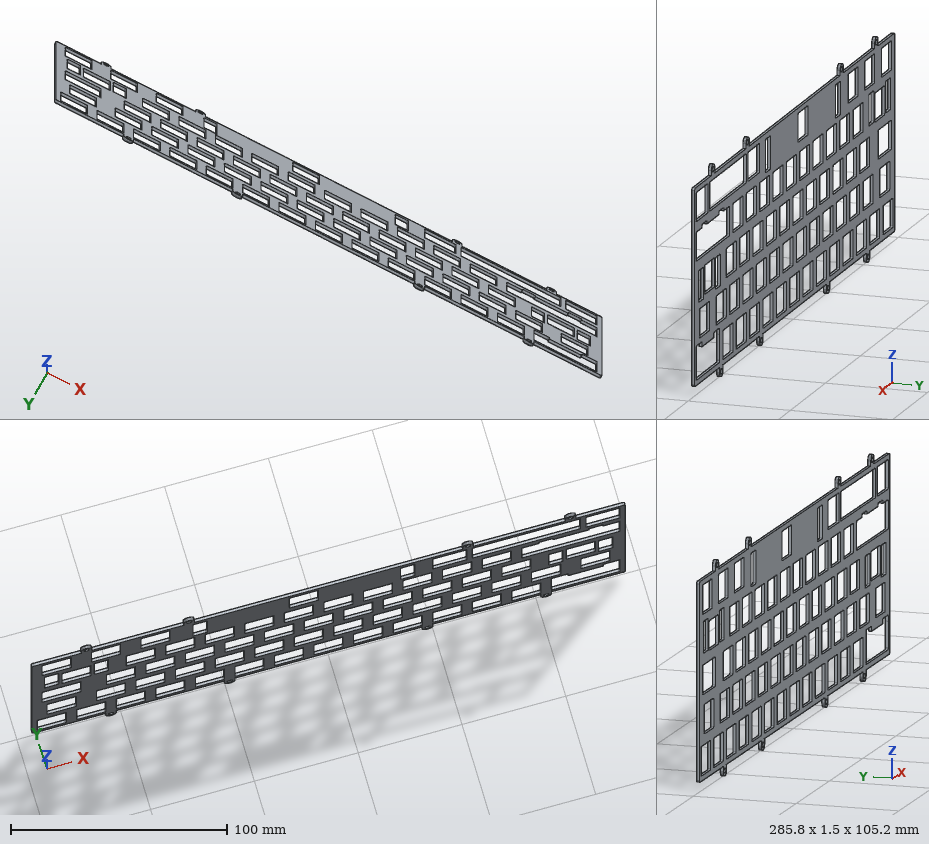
import cadquery as cq

PLATE_WIDTH = 285.8
ROWS = 5
COLUMNS = 15
THICKNESS = 1.5
PLATE_RADIUS = 1.0
OVERALL_HEIGHT = 105.2
PITCH = PLATE_WIDTH / COLUMNS
PLATE_HEIGHT = ROWS * PITCH

SWITCH_SIZE = 14.0
CORNER_RADIUS = 0.5

STABILIZER_WIDTH = 7.0
STABILIZER_OFFSET = 12.0
SPACEBAR_OFFSET = 50.0
LONG_REACH = 8.5
LONG_REACH_OUTER_ROW = 9.5
SHORT_REACH = 6.5
FLUSH_STABILIZER_WIDTH = 8.0

TAB_WIDTH = 5.1
TAB_HOLE_DIAMETER = 2.5
TOP_TAB_OFFSETS = (67.2, 116.5)
BOTTOM_TAB_COLUMNS = (2, 5, 10, 13)

KEY_RUNS = [
    (0, 0.5, 13),
    (1, 0.75, 1),
    (1, 2, 12),
    (1, 14.25, 1),
    (2, 2.25, 11),
    (2, 13.875, 1),
    (3, 1.125, 1),
    (3, 2.75, 10),
    (4, 0.625, 1),
    (4, 1.875, 1),
    (4, 3.125, 1),
    (4, 6.875, 1),
]

LONG_OPENINGS = [
    (0, 13.5, 14.5),
    (2, 0.625, 0.875),
    (3, 12.75, 14.5),
    (4, 10.5, 10.625),
    (4, 11.5, 13.5),
    (4, 14.375, 14.5),
]

flush_offset = (PITCH + SWITCH_SIZE - FLUSH_STABILIZER_WIDTH) / 2
STABILIZED_KEYS = [
    (0, 14, flush_offset, SHORT_REACH, LONG_REACH_OUTER_ROW, FLUSH_STABILIZER_WIDTH),
    (2, 13.875, STABILIZER_OFFSET, LONG_REACH, SHORT_REACH, STABILIZER_WIDTH),
    (3, 1.125, STABILIZER_OFFSET, SHORT_REACH, LONG_REACH, STABILIZER_WIDTH),
    (3, 13.625, STABILIZER_OFFSET, SHORT_REACH, LONG_REACH, STABILIZER_WIDTH),
    (4, 6.875, SPACEBAR_OFFSET, LONG_REACH_OUTER_ROW, SHORT_REACH, STABILIZER_WIDTH),
]


def column_x(column):
    """X of a position given in key units from the left edge."""
    return column * PITCH - PLATE_WIDTH / 2


def row_z(row):
    """Z of a row's centreline."""
    return (row + 0.5) * PITCH - PLATE_HEIGHT / 2


def block(left, right, bottom, top):
    """Rectangle in XZ, as thick as the plate."""
    return (
        cq.Workplane("XZ")
        .center((left + right) / 2, (bottom + top) / 2)
        .rect(right - left, top - bottom)
        .extrude(THICKNESS / 2, both=True)
    )


def disc(x, z, diameter):
    """Round disc in XZ, as thick as the plate."""
    return cq.Workplane("XZ").center(x, z).circle(diameter / 2).extrude(THICKNESS / 2, both=True)


def switch_opening(row, first, last):
    """Opening that reaches from a switch at the first key centre to one at the last."""
    half = SWITCH_SIZE / 2
    z = row_z(row)
    opening = block(column_x(first) - half, column_x(last) + half, z - half, z + half)
    return opening.edges("|Y").fillet(CORNER_RADIUS)


def stabilizer_opening(row, x, below, above, width):
    """Upright opening for one stabilizer."""
    z = row_z(row)
    opening = block(x - width / 2, x + width / 2, z - below, z + above)
    return opening.edges("|Y").fillet(CORNER_RADIUS)


def add_tab(plate, x, side):
    """Add a round-ended tab with a hole; side is 1 at the top edge, -1 at the bottom edge."""
    radius = TAB_WIDTH / 2
    eye_z = side * (OVERALL_HEIGHT / 2 - radius)
    root_z = side * (PLATE_HEIGHT / 2 - PLATE_RADIUS)
    neck = block(x - radius, x + radius, min(root_z, eye_z), max(root_z, eye_z))
    tab = neck.union(disc(x, eye_z, TAB_WIDTH))
    return plate.union(tab).cut(disc(x, eye_z, TAB_HOLE_DIAMETER))


result = block(-PLATE_WIDTH / 2, PLATE_WIDTH / 2, -PLATE_HEIGHT / 2, PLATE_HEIGHT / 2)
result = result.edges("|Y").fillet(PLATE_RADIUS)

for offset in TOP_TAB_OFFSETS:
    for direction in (-1, 1):
        result = add_tab(result, direction * offset, 1)
for column in BOTTOM_TAB_COLUMNS:
    result = add_tab(result, column_x(column), -1)

openings = []
for row, first, count in KEY_RUNS:
    for index in range(count):
        openings.append(switch_opening(row, first + index, first + index))
for row, first, last in LONG_OPENINGS:
    openings.append(switch_opening(row, first, last))

for row, centre, offset, below, above, width in STABILIZED_KEYS:
    for direction in (-1, 1):
        x = column_x(centre) + direction * offset
        openings.append(stabilizer_opening(row, x, below, above, width))

plate_solid = result.val()
result = cq.Workplane(plate_solid.cut(*[opening.val() for opening in openings]))
result = result.solids()